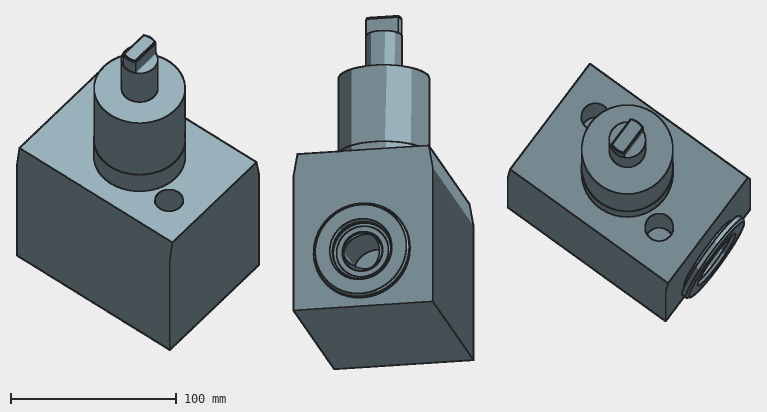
import cadquery as cq
import math


BLOCK_X_MIN = -60.5
BLOCK_X_MAX = 58.0
BLOCK_WIDTH = 86.0
BLOCK_HEIGHT = 99.0
TAPER_HEIGHT = 14.0
TAPER_ANGLE = 10.0

BOLT_HOLE_DIAMETER = 17.0
BOLT_HOLE_DEPTH = 40.0
BOLT_HOLE_X = 35.7
BOLT_HOLE_Y = 16.0

COLLAR_DIAMETER = 55.4
COLLAR_HEIGHT = 15.5
SHANK_DIAMETER = 55.0
SHANK_TOP_ABOVE_BLOCK = 64.0
SHAFT_DIAMETER = 22.0
SHAFT_HEIGHT = 27.0
TANG_DIAMETER = 21.8
TANG_THICKNESS = 9.6
TANG_HEIGHT = 11.0
TANG_CHAMFER_SETBACK = 0.5
TANG_CHAMFER_HEIGHT = 1.1
TANG_ROOT_RADIUS = 0.6

SPINDLE_Z = 34.0
NECK_DIAMETER = 49.0
NECK_LENGTH = 2.2
FLANGE_DIAMETER = 59.0
FLANGE_LENGTH = 4.3
FLANGE_CHAMFER = 1.4
RECESS_DIAMETER = 36.0
RECESS_DEPTH = 5.0
RECESS_CHAMFER_RADIAL = 1.2
RECESS_CHAMFER_DEPTH = 2.2
SEAT_DIAMETER = 32.0
SEAT_HEIGHT = 0.2

SOCKET_MOUTH_WIDTH = 22.0
SOCKET_LOBE = 0.7
SOCKET_DEPTH = 30.0
SOCKET_TAPER = 1 / 20
COUNTERSINK_DIAMETER = 25.0
COUNTERSINK_BOTTOM_DIAMETER = 24.0
COUNTERSINK_DEPTH = 0.5

NOSE_X = BLOCK_X_MIN - NECK_LENGTH - FLANGE_LENGTH
SEAT_X = NOSE_X + RECESS_DEPTH - SEAT_HEIGHT


def make_block():
    half_width = BLOCK_WIDTH / 2
    top_half_width = half_width - TAPER_HEIGHT * math.tan(math.radians(TAPER_ANGLE))
    shoulder_z = BLOCK_HEIGHT - TAPER_HEIGHT
    section = [
        (-half_width, 0),
        (half_width, 0),
        (half_width, shoulder_z),
        (top_half_width, BLOCK_HEIGHT),
        (-top_half_width, BLOCK_HEIGHT),
        (-half_width, shoulder_z),
    ]
    return (
        cq.Workplane("YZ", origin=(BLOCK_X_MIN, 0, 0))
        .polyline(section)
        .close()
        .extrude(BLOCK_X_MAX - BLOCK_X_MIN)
    )


def make_bolt_holes():
    return (
        cq.Workplane("XY", origin=(0, 0, BLOCK_HEIGHT))
        .pushPoints([(-BOLT_HOLE_X, BOLT_HOLE_Y), (BOLT_HOLE_X, -BOLT_HOLE_Y)])
        .circle(BOLT_HOLE_DIAMETER / 2)
        .extrude(-BOLT_HOLE_DEPTH)
    )


def upright_cylinder(diameter, bottom_z, height):
    return cq.Workplane("XY", origin=(0, 0, bottom_z)).circle(diameter / 2).extrude(height)


def make_tang(bottom_z):
    """Round tang with two flats, chamfered at the top and flared at the root of the flats."""
    body_height = TANG_HEIGHT - TANG_CHAMFER_HEIGHT
    half_thickness = TANG_THICKNESS / 2
    root_half_width = half_thickness + TANG_ROOT_RADIUS
    tip_half_width = half_thickness - TANG_CHAMFER_SETBACK
    root_arc_inset = TANG_ROOT_RADIUS * (1 - math.sqrt(0.5))
    flats = (
        cq.Workplane("XZ", origin=(0, TANG_DIAMETER / 2, bottom_z))
        .moveTo(-root_half_width, 0)
        .lineTo(root_half_width, 0)
        .threePointArc(
            (half_thickness + root_arc_inset, root_arc_inset),
            (half_thickness, TANG_ROOT_RADIUS),
        )
        .lineTo(half_thickness, body_height)
        .lineTo(tip_half_width, TANG_HEIGHT)
        .lineTo(-tip_half_width, TANG_HEIGHT)
        .lineTo(-half_thickness, body_height)
        .lineTo(-half_thickness, TANG_ROOT_RADIUS)
        .threePointArc(
            (-half_thickness - root_arc_inset, root_arc_inset),
            (-root_half_width, 0),
        )
        .close()
        .extrude(TANG_DIAMETER)
    )
    round_bar = (
        upright_cylinder(TANG_DIAMETER, bottom_z, TANG_HEIGHT)
        .faces(">Z")
        .chamfer(TANG_CHAMFER_HEIGHT, TANG_CHAMFER_SETBACK)
    )
    return round_bar.intersect(flats)


def make_shank():
    shank_top_z = BLOCK_HEIGHT + SHANK_TOP_ABOVE_BLOCK
    collar_top_z = BLOCK_HEIGHT + COLLAR_HEIGHT
    collar = upright_cylinder(COLLAR_DIAMETER, BLOCK_HEIGHT, COLLAR_HEIGHT)
    shank = upright_cylinder(SHANK_DIAMETER, collar_top_z, shank_top_z - collar_top_z)
    shaft = upright_cylinder(SHAFT_DIAMETER, shank_top_z, SHAFT_HEIGHT)
    tang = make_tang(shank_top_z + SHAFT_HEIGHT)
    return collar.union(shank).union(shaft).union(tang)


def turn_about_spindle(profile):
    """Revolve (x, radius) points about the horizontal spindle axis."""
    return (
        cq.Workplane("XZ", origin=(0, 0, SPINDLE_Z))
        .polyline(profile)
        .close()
        .revolve(360, (0, 0, 0), (1, 0, 0))
    )


def make_nose():
    neck_x = NOSE_X + FLANGE_LENGTH
    flange_radius = FLANGE_DIAMETER / 2
    neck_radius = NECK_DIAMETER / 2
    return turn_about_spindle([
        (NOSE_X, 0),
        (NOSE_X, flange_radius - FLANGE_CHAMFER),
        (NOSE_X + FLANGE_CHAMFER, flange_radius),
        (neck_x, flange_radius),
        (neck_x, neck_radius),
        (BLOCK_X_MIN, neck_radius),
        (BLOCK_X_MIN, 0),
    ])


def make_recess():
    """Chamfered round recess, leaving a slightly raised seat on its floor."""
    floor_x = NOSE_X + RECESS_DEPTH
    recess_radius = RECESS_DIAMETER / 2
    seat_radius = SEAT_DIAMETER / 2
    return turn_about_spindle([
        (NOSE_X, 0),
        (NOSE_X, recess_radius + RECESS_CHAMFER_RADIAL),
        (NOSE_X + RECESS_CHAMFER_DEPTH, recess_radius),
        (floor_x, recess_radius),
        (floor_x, seat_radius),
        (SEAT_X, seat_radius),
        (SEAT_X, 0),
    ])


def make_countersink():
    return turn_about_spindle([
        (SEAT_X, 0),
        (SEAT_X, COUNTERSINK_DIAMETER / 2),
        (SEAT_X + COUNTERSINK_DEPTH, COUNTERSINK_BOTTOM_DIAMETER / 2),
        (SEAT_X + COUNTERSINK_DEPTH, 0),
    ])


def trilobe_point(turn, width):
    """Point on a three-lobed curve of constant width, one lobe toward +Y."""
    angle = 2 * math.pi * turn
    reach = width / 2 + SOCKET_LOBE * math.cos(3 * angle)
    slide = 3 * SOCKET_LOBE * math.sin(3 * angle)
    y = reach * math.cos(angle) + slide * math.sin(angle)
    z = reach * math.sin(angle) - slide * math.cos(angle)
    return (y, z)


def make_socket():
    end_width = SOCKET_MOUTH_WIDTH - SOCKET_DEPTH * SOCKET_TAPER
    return (
        cq.Workplane("YZ", origin=(SEAT_X, 0, SPINDLE_Z))
        .parametricCurve(lambda turn: trilobe_point(turn, SOCKET_MOUTH_WIDTH))
        .workplane(offset=SOCKET_DEPTH)
        .parametricCurve(lambda turn: trilobe_point(turn, end_width))
        .loft(ruled=True)
    )


body = make_block().cut(make_bolt_holes()).union(make_shank()).union(make_nose())
result = body.cut(make_recess()).cut(make_countersink()).cut(make_socket())